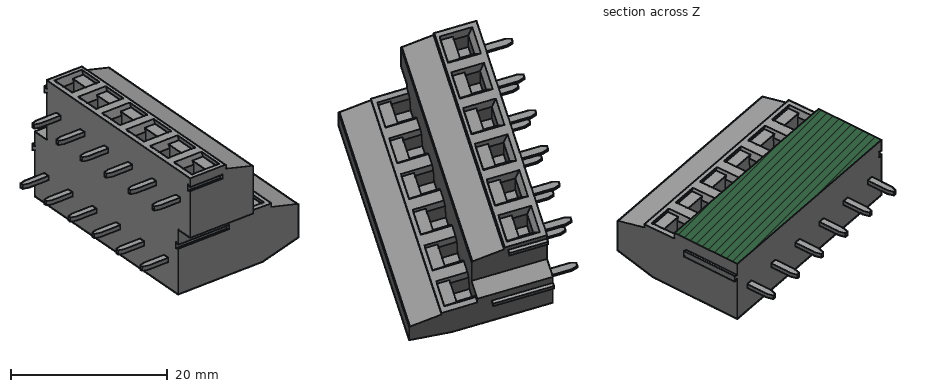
import cadquery as cq
import math

overall_length = 33.52
overall_height = 18.5

poles = 6
tier_length = 30.47
pitch = tier_length / poles
ridge_projection = overall_length - tier_length - pitch / 2
lower_left = ridge_projection
upper_left = lower_left + pitch / 2
row_rise = 10.2
row_setback = 9.12
tier_split_height = 9.65

upper_depth = 10.1
shelf_front_length = 5.75
shelf_drop = 0.65
back_drop = 1.7
edge_chamfer = 0.15
underside_rise = 1.58
underside_run = 5.73

pocket_length = 3.75
pocket_front = 0.77
pocket_back = 5.13
funnel_depth = 1.05
funnel_inset = 0.57
funnel_front_inset = 0.7
ledge_front = 3.45
ledge_depth = 0.57
pocket_depth = 5.35

shelf_tilt = 1.3
lower_pocket_lift = 0.17

pin_length = 4.0
pin_tip_length = 0.8
pin_width = 0.9
pin_tip_width = 0.45
pin_thickness = 0.65
lower_pin_height = 4.15

ridge_width = 0.95
ridge_neck_width = 0.6
upper_ridge_length = 5.2
upper_ridge_height = 16.9
lower_ridge_length = 8.15
lower_ridge_height = 7.1


def tier_back(top, setback):
    """Outline points of a tier's sloped rear top, ending with a chamfer onto its back face."""
    back = setback + upper_depth
    return [
        (setback + shelf_front_length, top - shelf_drop),
        (back - edge_chamfer, top - back_drop),
        (back, top - back_drop - edge_chamfer),
    ]


def extrude_profile(points, left):
    """Extrude a (Y, Z) outline by the tier length, starting at X = left."""
    return cq.Workplane("YZ").polyline(points).close().extrude(tier_length).translate((left, 0, 0))


def wire_pocket(center_x, front, ledge, back, top, front_inset):
    """Funnel-mouthed pocket with a raised ledge in its rear half."""
    half_mouth = pocket_length / 2
    half_throat = half_mouth - funnel_inset
    throat_front = front + front_inset

    mouth = [
        (center_x - half_mouth, front),
        (center_x + half_mouth, front),
        (center_x + half_mouth, back),
        (center_x - half_mouth, back),
    ]
    throat = [
        (center_x - half_throat, throat_front),
        (center_x + half_throat, throat_front),
        (center_x + half_throat, back),
        (center_x - half_throat, back),
    ]
    funnel = (
        cq.Workplane("XY").workplane(offset=top).polyline(mouth).close()
        .workplane(offset=-funnel_depth).polyline(throat).close()
        .loft(ruled=True)
    )
    ledge_block = cq.Workplane("XY").box(
        pocket_length, back - ledge, funnel_depth, centered=(True, False, False)
    ).translate((center_x, ledge, top - ledge_depth - funnel_depth))
    shaft = cq.Workplane("XY").box(
        2 * half_throat, ledge - throat_front, pocket_depth, centered=(True, False, False)
    ).translate((center_x, throat_front, top - pocket_depth))
    return funnel.cut(ledge_block).union(shaft)


def pin(center_x, center_z):
    """Flat solder pin with a tip tapered across its width."""
    half_width = pin_width / 2
    half_tip = pin_tip_width / 2
    taper_start = pin_tip_length - pin_length
    outline = [
        (-half_width, 0),
        (-half_width, taper_start),
        (-half_tip, -pin_length),
        (half_tip, -pin_length),
        (half_width, taper_start),
        (half_width, 0),
    ]
    flat = cq.Workplane("XY").polyline(outline).close().extrude(pin_thickness)
    return flat.translate((center_x, 0, center_z - pin_thickness / 2))


def dovetail(face_x, center_z, length):
    """Dovetail bar standing out toward -X from the plane X = face_x."""
    section = [
        (face_x, -ridge_neck_width / 2),
        (face_x, ridge_neck_width / 2),
        (face_x - ridge_projection, ridge_width / 2),
        (face_x - ridge_projection, -ridge_width / 2),
    ]
    bar = cq.Workplane("XZ").polyline(section).close().extrude(-length)
    return bar.translate((0, 0, center_z))


def upper_pocket(center_x):
    """Upright pocket in the upper shelf."""
    return wire_pocket(
        center_x, pocket_front, ledge_front, pocket_back, overall_height, funnel_front_inset
    )


def lower_pocket(center_x):
    """Pocket leaning with the lower shelf, its straight front wall meeting the riser."""
    upright = wire_pocket(
        center_x,
        upper_depth,
        row_setback + ledge_front,
        row_setback + pocket_back,
        lower_top + lower_pocket_lift,
        0,
    )
    return upright.rotate((0, upper_depth, lower_top), (1, upper_depth, lower_top), -shelf_tilt)


lower_top = overall_height - row_rise
lower_back = row_setback + upper_depth
lower_step = row_setback + shelf_front_length
lower_shelf_fall = (lower_step - upper_depth) * math.tan(math.radians(shelf_tilt))

lower_profile = [
    (0, 0),
    (0, tier_split_height),
    (upper_depth, tier_split_height),
    (upper_depth, lower_top),
    (lower_step, lower_top - lower_shelf_fall),
    *tier_back(lower_top, row_setback),
    (lower_back, underside_rise),
    (lower_back - underside_run, 0),
]

upper_profile = [
    (0, tier_split_height),
    (0, overall_height),
    (shelf_front_length - edge_chamfer, overall_height),
    (shelf_front_length, overall_height - edge_chamfer),
    *tier_back(overall_height, 0),
    (upper_depth, tier_split_height),
]

tiers = [
    (lower_left, lower_pocket, lower_pin_height, lower_ridge_height, lower_ridge_length),
    (upper_left, upper_pocket, lower_pin_height + row_rise, upper_ridge_height, upper_ridge_length),
]

result = extrude_profile(lower_profile, lower_left).union(extrude_profile(upper_profile, upper_left))

for left, pocket, pin_height, ridge_height, ridge_length in tiers:
    result = result.union(dovetail(left, ridge_height, ridge_length))
    result = result.cut(dovetail(left + tier_length, ridge_height, ridge_length))
    for pole in range(poles):
        pole_x = left + (pole + 0.5) * pitch
        result = result.cut(pocket(pole_x))
        result = result.union(pin(pole_x, pin_height))